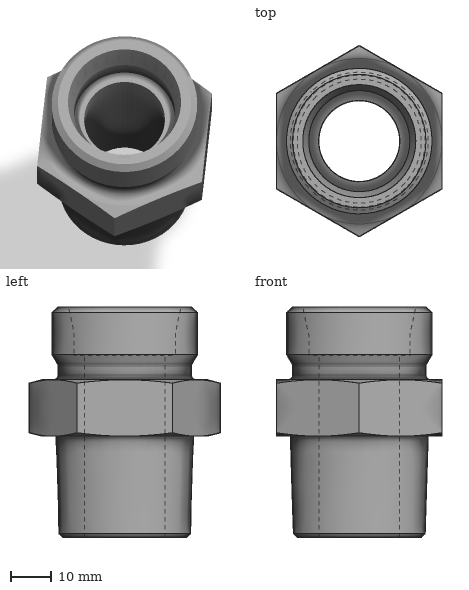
import cadquery as cq
import math

length = 57.0

hex_flats = 41.0
hex_bottom = 25.0
hex_top = 39.0
hex_corner_radius = hex_flats / math.sqrt(3)
bevel_angle = math.radians(15)

thread_radius = 36.0 / 2
neck_radius = 33.0 / 2
thread_chamfer_height = 1.4
thread_bottom = 45.25
neck_top = thread_bottom - (thread_radius - neck_radius) / math.tan(math.radians(30))
undercut_fillet = 0.85
neck_fillet = 1.15

taper_top_radius = 34.15 / 2
taper_slope = 1 / 32
taper_tip_height = 0.95
taper_tip_inset = 0.95
taper_tip_radius = taper_top_radius - (hex_bottom - taper_tip_height) * taper_slope

bore_radius = 20.0 / 2
socket_radius = 25.0 / 2
cone_mouth_radius = 28.0 / 2
cone_depth = (cone_mouth_radius - socket_radius) / math.tan(math.radians(12))
socket_depth = 12.0


def make_hexagon():
    """Hexagonal collar with the corners bevelled at both ends."""
    flat_radius = hex_flats / 2
    bevel_height = (hex_corner_radius - flat_radius) * math.tan(bevel_angle)
    prism = (
        cq.Workplane("XY", origin=(0, 0, hex_bottom))
        .polygon(6, 2 * hex_corner_radius)
        .extrude(hex_top - hex_bottom)
        .rotate((0, 0, 0), (0, 0, 1), 30)
    )
    envelope = (
        cq.Workplane("XZ")
        .moveTo(0, hex_bottom)
        .lineTo(flat_radius, hex_bottom)
        .lineTo(hex_corner_radius, hex_bottom + bevel_height)
        .lineTo(hex_corner_radius, hex_top - bevel_height)
        .lineTo(flat_radius, hex_top)
        .lineTo(0, hex_top)
        .close()
        .revolve(360, (0, 0, 0), (0, 1, 0))
    )
    return prism.intersect(envelope)


def make_body():
    """Solid turned body carrying both threaded ends."""
    fillet_center_radius = neck_radius + neck_fillet
    fillet_center_height = hex_top + neck_fillet
    select_margin = 0.05
    fillet_offset = neck_fillet * math.sqrt(0.5)
    body = (
        cq.Workplane("XZ")
        .moveTo(0, 0)
        .lineTo(taper_tip_radius - taper_tip_inset, 0)
        .lineTo(taper_tip_radius, taper_tip_height)
        .lineTo(taper_top_radius, hex_bottom)
        .lineTo(fillet_center_radius, hex_bottom)
        .lineTo(fillet_center_radius, hex_top)
        .threePointArc(
            (fillet_center_radius - fillet_offset, fillet_center_height - fillet_offset),
            (neck_radius, fillet_center_height),
        )
        .lineTo(neck_radius, neck_top)
        .lineTo(thread_radius, thread_bottom)
        .lineTo(thread_radius, length - thread_chamfer_height)
        .lineTo(neck_radius, length)
        .lineTo(0, length)
        .close()
        .revolve(360, (0, 0, 0), (0, 1, 0))
    )
    neck_box = cq.selectors.BoxSelector(
        (-thread_radius, -thread_radius, neck_top - select_margin),
        (thread_radius, thread_radius, neck_top + select_margin),
    )
    return body.edges("%CIRCLE").edges(neck_box).fillet(undercut_fillet)


def make_bore():
    """Through bore, tube socket and sealing cone."""
    return (
        cq.Workplane("XZ")
        .moveTo(0, 0)
        .lineTo(bore_radius, 0)
        .lineTo(bore_radius, length - socket_depth)
        .lineTo(socket_radius, length - socket_depth)
        .lineTo(socket_radius, length - cone_depth)
        .lineTo(cone_mouth_radius, length)
        .lineTo(0, length)
        .close()
        .revolve(360, (0, 0, 0), (0, 1, 0))
    )


result = make_body().union(make_hexagon()).cut(make_bore())